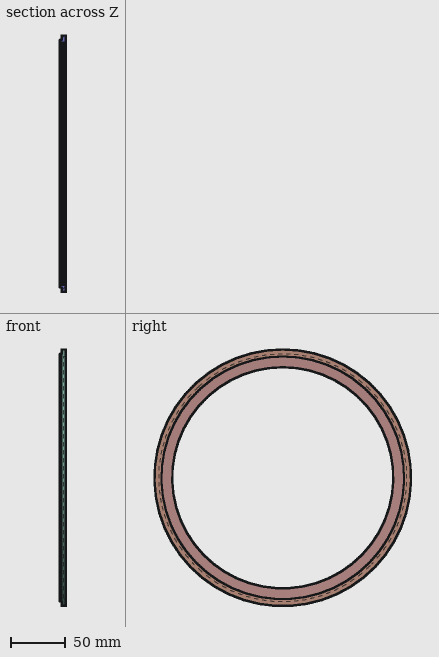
import cadquery as cq

outer_diameter = 235.5
inner_diameter = 202.5
total_width = 5.8
rim_thickness = 4.0
bead_outer_diameter = 227.5
bead_width = 2.5
bead_crown_height = 1.2
web_rise = 0.2
web_thickness = 2.0

outer_radius = outer_diameter / 2
inner_radius = inner_diameter / 2
bead_outer_radius = bead_outer_diameter / 2
bead_inner_radius = bead_outer_radius - bead_width
bead_center_radius = bead_outer_radius - bead_width / 2

bead_tip_x = 0.0
bead_shoulder_x = bead_tip_x + bead_crown_height
rim_back_x = bead_tip_x + total_width
rim_front_x = rim_back_x - rim_thickness
web_inner_front_x = rim_front_x - web_rise


def ring_section():
    """Half section in the XZ plane: rim, crowned bead and a thinner, slightly dished inner web."""
    return (
        cq.Workplane("XZ")
        .moveTo(rim_back_x, bead_inner_radius)
        .lineTo(rim_back_x, outer_radius)
        .lineTo(rim_front_x, outer_radius)
        .lineTo(rim_front_x, bead_outer_radius)
        .lineTo(bead_shoulder_x, bead_outer_radius)
        .threePointArc((bead_tip_x, bead_center_radius), (bead_shoulder_x, bead_inner_radius))
        .lineTo(rim_front_x, bead_inner_radius)
        .lineTo(web_inner_front_x, inner_radius)
        .lineTo(web_inner_front_x + web_thickness, inner_radius)
        .lineTo(rim_front_x + web_thickness, bead_inner_radius)
        .close()
    )


result = ring_section().revolve(360, (0, 0, 0), (1, 0, 0))